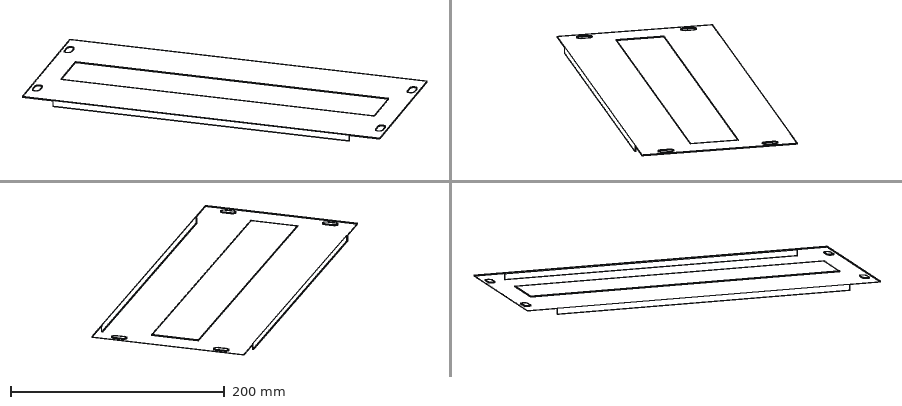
import cadquery as cq

length = 350.0
width = 149.0
height = 6.5
sheet = 1.0

flange_length = 290.0

window_length = 307.0
window_width = 46.0

slot_length = 15.0
slot_width = 7.0
slot_spacing_x = 336.0
slot_spacing_y = 100.0


def make_panel():
    """Flat sheet with its top face at Z = 0."""
    panel = cq.Workplane("XY").box(length, width, sheet, centered=(True, True, False))
    return panel.translate((0, 0, -sheet))


def make_flange(side):
    """Downward flange flush with the long edge on the given side (+1 or -1 in Y)."""
    flange = cq.Workplane("XY").box(flange_length, sheet, height, centered=(True, True, False))
    return flange.translate((0, side * (width - sheet) / 2, -height))


def make_window():
    """Solid that cuts the rectangular window through the sheet."""
    return cq.Workplane("XY").rect(window_length, window_width).extrude(-sheet)


def make_slots():
    """Solids that cut the four slots, elongated along Y."""
    slots = cq.Workplane("XY").rarray(slot_spacing_x, slot_spacing_y, 2, 2)
    return slots.slot2D(slot_length, slot_width, 90).extrude(-sheet)


result = make_panel().cut(make_window()).cut(make_slots())
for side in (-1, 1):
    result = result.union(make_flange(side))